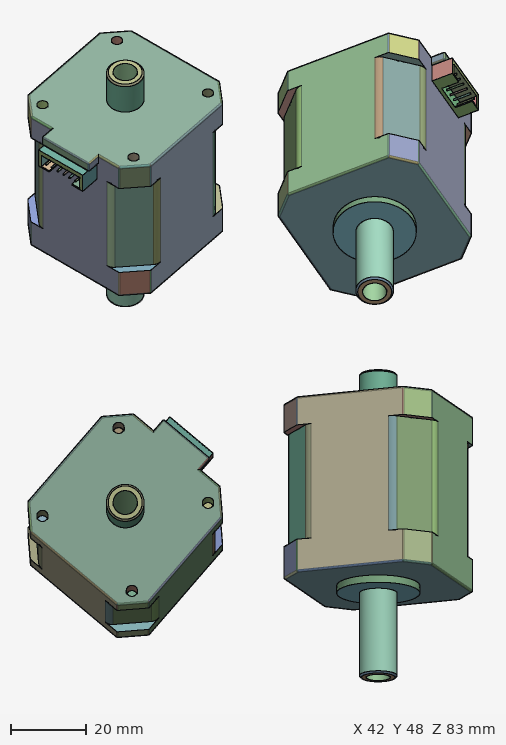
import cadquery as cq

total_length = 83.0
body_height = 48.0
boss_height = 2.0
rear_shaft_length = 10.0

body_width = 42.0
half_width = body_width / 2
cap_corner = 6.0
waist_corner = 8.9
waist_round = 2.8
rear_cap_height = 7.8
front_cap_height = 8.9
corner_round = 0.5
rim_round = 0.5

boss_diameter = 22.0
shaft_diameter = 10.0
bore_diameter = 6.4
shaft_chamfer = 0.5
screw_spacing = 31.05
screw_diameter = 3.0
screw_depth = rear_cap_height

tab_width = 16.0
tab_reach = 4.0
tab_thickness = 3.0
tab_round = 0.3

socket_width = 15.0
socket_height = 6.0
socket_reach = 6.0
cavity_width = 12.95
cavity_height = 4.0
cavity_depth = 5.0
floor_wall = 0.5
key_width = 7.8
pin_count = 6
pin_pitch = 2.0
pin_diameter = 0.5
pin_drop = 3.8

front_face = -half_width
overlap = 0.8


def cut_corner_block(corner, height, bottom):
    """Square block with its four vertical corners cut at 45 degrees."""
    block = cq.Workplane("XY").rect(body_width, body_width).extrude(height)
    return block.edges("|Z").chamfer(corner).translate((0, 0, bottom))


def box_out_of_front(width, reach, height, top, sink=0.0):
    """Box that sticks out of the -Y side of the body by reach."""
    return (
        cq.Workplane("XY")
        .box(width, reach + sink, height, centered=(True, False, False))
        .translate((0, front_face - reach, top - height))
    )


def make_cap(height, bottom, outer_face):
    cap = cut_corner_block(cap_corner, height, bottom).edges("|Z").fillet(corner_round)
    return cap.faces(outer_face).edges().fillet(rim_round)


def make_body():
    waist = cut_corner_block(waist_corner, body_height - 2 * overlap, overlap)
    waist = waist.edges("|Z").fillet(waist_round)
    front_cap = make_cap(front_cap_height, 0, "<Z")
    rear_cap = make_cap(rear_cap_height, body_height - rear_cap_height, ">Z")
    return waist.union(front_cap).union(rear_cap)


def make_tab():
    tab = box_out_of_front(tab_width, tab_reach, tab_thickness, body_height, half_width / 2)
    return tab.edges().fillet(tab_round)


def make_socket():
    top = body_height - tab_thickness
    cavity_top = top - socket_height + floor_wall + cavity_height
    socket = box_out_of_front(socket_width, socket_reach, socket_height, top, overlap)
    cavity = box_out_of_front(cavity_width, socket_reach, cavity_height, cavity_top)
    key = box_out_of_front(key_width, socket_reach, socket_height / 2, top - socket_height / 2)
    back = socket_reach - cavity_depth
    opening = cavity.union(key).translate((0, -back, 0))
    socket = socket.cut(opening)
    for index in range(pin_count):
        pin_x = (index - (pin_count - 1) / 2) * pin_pitch
        pin = (
            cq.Workplane("XZ", origin=(pin_x, front_face + overlap, top - pin_drop))
            .circle(pin_diameter / 2)
            .extrude(socket_reach + overlap)
        )
        socket = socket.union(pin)
    return socket


def make_shaft():
    shaft = cq.Workplane("XY").circle(shaft_diameter / 2).extrude(total_length)
    shaft = shaft.faces("<Z or >Z").edges().chamfer(shaft_chamfer)
    return shaft.translate((0, 0, body_height + rear_shaft_length - total_length))


boss = cq.Workplane("XY").circle(boss_diameter / 2).extrude(-boss_height)
bore = (
    cq.Workplane("XY", origin=(0, 0, body_height + rear_shaft_length))
    .circle(bore_diameter / 2)
    .extrude(-total_length)
)
screw_holes = (
    cq.Workplane("XY", origin=(0, 0, body_height))
    .rect(screw_spacing, screw_spacing, forConstruction=True)
    .vertices()
    .circle(screw_diameter / 2)
    .extrude(-screw_depth)
)

result = make_body().union(make_tab()).union(make_socket()).union(boss).union(make_shaft())
result = result.cut(bore).cut(screw_holes)